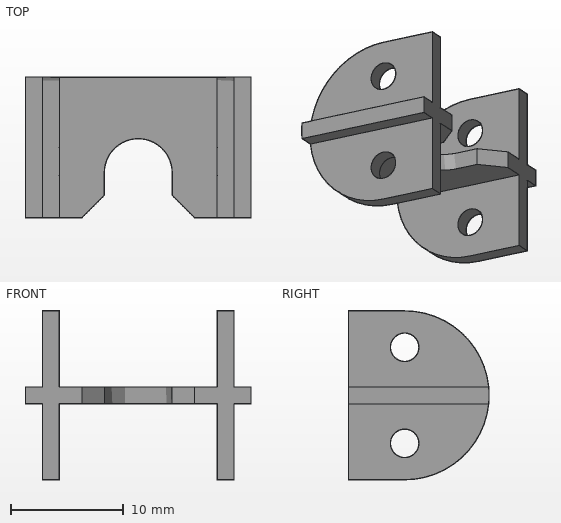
import cadquery as cq
import math

width = 20.0
cheek_height = 15.0
cheek_straight = 5.0
thickness = 1.5
cheek_inset = 1.5
hole_diameter = 2.5
hole_offset = 4.25
slot_width = 6.0
slot_center_y = 4.0
mouth_chamfer = 2.0

cheek_radius = cheek_height / 2
half_slot = slot_width / 2
half_mouth = half_slot + mouth_chamfer
cheek_x = width / 2 - cheek_inset - thickness / 2
total_depth = cheek_straight + cheek_radius
flat_depth = cheek_straight + math.sqrt(cheek_radius**2 - (thickness / 2) ** 2)


def make_side_profile(center_x, length):
    """Solid along X with a square front and a half-round back."""
    return (
        cq.Workplane("YZ", origin=(center_x - length / 2, 0, 0))
        .moveTo(0, -cheek_radius)
        .lineTo(cheek_straight, -cheek_radius)
        .threePointArc((total_depth, 0), (cheek_straight, cheek_radius))
        .lineTo(0, cheek_radius)
        .close()
        .extrude(length)
    )


def make_web():
    """Horizontal plate with a slotted front edge and a back that follows the cheek curve."""
    plate = (
        cq.Workplane("XY", origin=(0, 0, -thickness / 2))
        .moveTo(-width / 2, 0)
        .lineTo(-half_mouth, 0)
        .lineTo(-half_slot, mouth_chamfer)
        .lineTo(-half_slot, slot_center_y)
        .threePointArc((0, slot_center_y + half_slot), (half_slot, slot_center_y))
        .lineTo(half_slot, mouth_chamfer)
        .lineTo(half_mouth, 0)
        .lineTo(width / 2, 0)
        .lineTo(width / 2, total_depth)
        .lineTo(-width / 2, total_depth)
        .close()
        .extrude(thickness)
    )
    return plate.intersect(make_side_profile(0, width))


def make_cheek(center_x):
    """Upright plate with a half-round back and one hole above and below the web."""
    holes = (
        cq.Workplane("YZ", origin=(center_x - thickness / 2, 0, 0))
        .pushPoints([(cheek_straight, -hole_offset), (cheek_straight, hole_offset)])
        .circle(hole_diameter / 2)
        .extrude(thickness)
    )
    return make_side_profile(center_x, thickness).cut(holes)


result = make_web()
for center_x in (-cheek_x, cheek_x):
    result = result.union(make_cheek(center_x))

back_trim = cq.Workplane("XY").box(
    2 * cheek_x, total_depth - flat_depth, thickness, centered=(True, False, True)
)
result = result.cut(back_trim.translate((0, flat_depth, 0)))